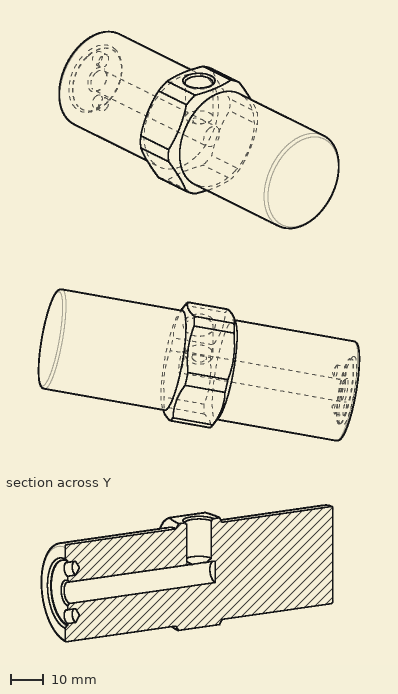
import cadquery as cq
import math

body_length = 94.0
body_diameter = 31.0
end_round = 0.8

hexagon_sides = 6
across_flats = 34.0
corner_diameter = 37.1
collar_length = 16.2
cone_angle = 30.0

recess_diameter = 20.5
recess_depth = 0.9
recess_chamfer = 0.75
recess_floor = recess_depth - body_length / 2

bore_diameter = 6.7
bore_chamfer = 0.7
bore_overrun = 5.6

spanner_diameter = 4.2
spanner_offset = 7.5
spanner_depth = 2.8

port_diameter = 8.6
port_chamfer = 0.7
port_depth = 12.5

drill_point_angle = 118.0


def turned(points):
    """Solid of revolution about X from (x, radius) points that start and end on the axis."""
    return cq.Workplane("XY").polyline(points).close().revolve(360, (0, 0, 0), (1, 0, 0))


def hole(diameter, depth, chamfer=0.0, point_angle=180.0):
    """Cutter along +X from the origin, with a 45 degree mouth and a flat or conical bottom."""
    radius = diameter / 2
    points = [(0, 0), (0, radius + chamfer)]
    if chamfer > 0:
        points.append((chamfer, radius))
    points.append((depth, radius))
    if point_angle < 180:
        point_length = radius / math.tan(math.radians(point_angle / 2))
        points.append((depth + point_length, 0))
    else:
        points.append((depth, 0))
    return turned(points)


def make_barrel():
    end_plane = cq.Workplane("YZ").workplane(offset=-body_length / 2)
    barrel = end_plane.circle(body_diameter / 2).extrude(body_length)
    return barrel.edges("%CIRCLE").fillet(end_round)


def make_collar():
    end = collar_length / 2
    root_radius = body_diameter / 2
    corner_radius = corner_diameter / 2
    rim = end - (corner_radius - root_radius) * math.tan(math.radians(cone_angle))
    envelope = turned([
        (-end, 0),
        (-end, root_radius),
        (-rim, corner_radius),
        (rim, corner_radius),
        (end, root_radius),
        (end, 0),
    ])

    sharp_radius = across_flats / 2 / math.cos(math.pi / hexagon_sides)
    angles = [2 * math.pi * i / hexagon_sides for i in range(hexagon_sides)]
    corners = [(sharp_radius * math.cos(a), sharp_radius * math.sin(a)) for a in angles]
    hexagon = cq.Workplane("YZ").polyline(corners).close().extrude(end, both=True)
    return hexagon.intersect(envelope)


def make_recess():
    recess = hole(recess_diameter, recess_depth, recess_chamfer)
    return recess.translate((-body_length / 2, 0, 0))


def make_bore():
    bore = hole(bore_diameter, bore_overrun - recess_floor, bore_chamfer)
    return bore.translate((recess_floor, 0, 0))


def make_spanner_hole(height):
    spanner_hole = hole(spanner_diameter, spanner_depth, point_angle=drill_point_angle)
    return spanner_hole.translate((recess_floor, 0, height))


def make_port():
    port = hole(port_diameter, port_depth, port_chamfer, drill_point_angle)
    pointing_down = port.rotate((0, 0, 0), (0, 1, 0), 90)
    return pointing_down.translate((0, 0, across_flats / 2))


result = make_barrel().union(make_collar())
result = result.cut(make_recess())
result = result.cut(make_bore())
result = result.cut(make_port())
for height in (-spanner_offset, spanner_offset):
    result = result.cut(make_spanner_hole(height))